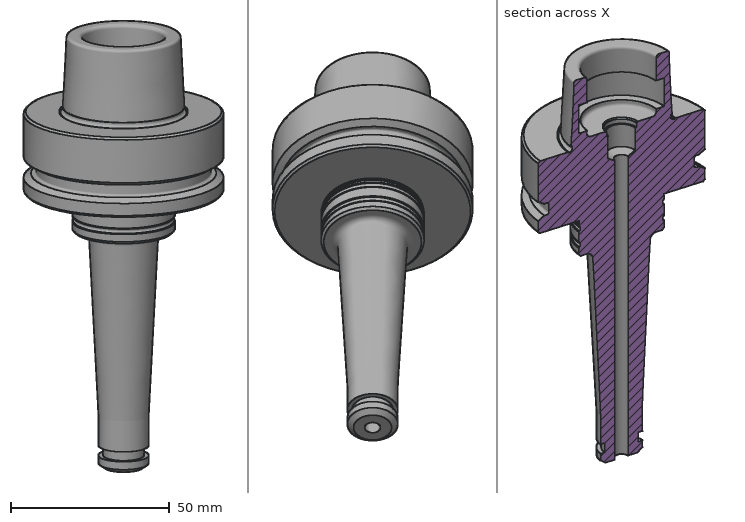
import cadquery as cq
import math


total_height = 141.0
flange_top = 116.0
flange_bottom = 90.0
collar_bottom = 77.1
cone_bottom = 17.2

gauge_diameter = 38.4
gauge_level = 118.0
taper_ratio = 0.1
rim_fillet = 1.0
relief_diameter = 37.4
gauge_edge_height = 0.4
relief_fillet = 1.1
relief_floor = 115.8
recess_diameter = 40.6

flange_diameter = 63.0
flange_chamfer = 0.7
groove_diameter = 55.0
groove_upper_edge = 101.4
groove_lower_edge = 94.6
groove_wall_angle = 30.0
groove_step_diameter = 58.4
groove_root_fillet = 0.7

collar_diameter = 32.5
collar_groove_diameter = 32.0
collar_groove_width = 2.0
collar_groove_tops = [88.1, 82.3]
ring_seat_width = 1.4
ring_seat_depth = 0.4
collar_neck_height = 0.8
collar_chamfer = 0.8

shaft_top_diameter = 21.9
shaft_fillet = 2.1
nose_diameter = 16.0
nose_end_diameter = 12.0
nose_chamfer_height = 1.4
nose_groove_diameter = 13.0
nose_groove_top = 7.2
nose_groove_bottom = 4.0

bore_diameter = 26.0
bore_depth = 21.9
bore_fillet = 1.3
clamping_diameter = 32.0
clamping_top_depth = 9.5
clamping_bottom_depth = 19.5
counterbore_diameter = 12.0
counterbore_depth = 2.0
counterbore_chamfer = 0.4
pilot_diameter = 10.0
pilot_depth = 10.0
drill_point_angle = 118.0
through_diameter = 5.0


def cylinder(diameter, bottom, top):
    return cq.Workplane("XY").workplane(offset=bottom).circle(diameter / 2).extrude(top - bottom)


def turned(points):
    """Revolve a closed (radius, height) outline about Z."""
    return cq.Workplane("XZ").polyline(points).close().revolve(360, (0, 0), (0, 1))


def ring_groove(outer_diameter, root_diameter, bottom, top):
    """Square-walled ring to cut from a cylinder."""
    clearance = 1.4
    return cylinder(outer_diameter + clearance, bottom, top).cut(cylinder(root_diameter, bottom, top))


def taper_shank():
    """Tapered shank with rounded rim, standing on a relief neck in the flange face."""
    rim_radius = (gauge_diameter - taper_ratio * (total_height - gauge_level)) / 2
    taper = turned([
        (0, gauge_level),
        (gauge_diameter / 2, gauge_level),
        (rim_radius, total_height),
        (0, total_height),
    ]).faces(">Z").edges().fillet(rim_fillet)
    gauge_edge = cylinder(gauge_diameter, gauge_level - gauge_edge_height, gauge_level)
    return flared_neck().union(gauge_edge).union(taper)


def flared_neck():
    """Relief neck whose foot flares in a quarter round to the floor of the flange recess."""
    neck_radius = relief_diameter / 2
    neck_top = gauge_level - gauge_edge_height
    return (
        cq.Workplane("XZ")
        .moveTo(0, relief_floor)
        .lineTo(neck_radius + relief_fillet, relief_floor)
        .radiusArc((neck_radius, relief_floor + relief_fillet), relief_fillet)
        .lineTo(neck_radius, neck_top)
        .lineTo(0, neck_top)
        .close()
        .revolve(360, (0, 0), (0, 1))
    )


def face_recess():
    """Shallow recess with a sloped rim in the flange face around the neck."""
    floor_radius = relief_diameter / 2 + relief_fillet
    return turned([
        (0, relief_floor),
        (floor_radius, relief_floor),
        (recess_diameter / 2, flange_top),
        (0, flange_top),
    ])


def flange():
    body = cylinder(flange_diameter, flange_bottom, flange_top)
    return body.faces("<Z or >Z").edges().chamfer(flange_chamfer)


def gripper_groove():
    """V-walled groove that turns level before a flat, rounded root."""
    outer_radius = flange_diameter / 2
    step_radius = groove_step_diameter / 2
    root_radius = groove_diameter / 2
    wall_rise = (outer_radius - step_radius) * math.tan(math.radians(groove_wall_angle))
    root_bottom = groove_lower_edge + wall_rise
    root_top = groove_upper_edge - wall_rise
    groove = turned([
        (outer_radius, groove_lower_edge),
        (step_radius, root_bottom),
        (root_radius, root_bottom),
        (root_radius, root_top),
        (step_radius, root_top),
        (outer_radius, groove_upper_edge),
    ])
    root_edges = cq.selectors.RadiusNthSelector(0)
    return groove.edges("%CIRCLE").edges(root_edges).fillet(groove_root_fillet)


def ring_seat(middle):
    """Shallow round-bottomed seat to cut into a collar groove."""
    land_radius = collar_groove_diameter / 2
    half_width = ring_seat_width / 2
    return (
        cq.Workplane("XZ")
        .moveTo(land_radius, middle - half_width)
        .threePointArc((land_radius - ring_seat_depth, middle), (land_radius, middle + half_width))
        .close()
        .revolve(360, (0, 0), (0, 1))
    )


def collar():
    body = cylinder(collar_diameter, collar_bottom, flange_bottom)
    body = body.faces("<Z").edges().chamfer(collar_chamfer)
    for top in collar_groove_tops:
        body = body.cut(ring_groove(collar_diameter, collar_groove_diameter, top - collar_groove_width, top))
        body = body.cut(ring_seat(top - collar_groove_width / 2))
    neck_bottom = flange_bottom - collar_neck_height
    return body.cut(ring_groove(collar_diameter, collar_groove_diameter, neck_bottom, flange_bottom))


def shaft():
    """Cone flaring into the collar, ending in a grooved and chamfered nose."""
    top_radius = shaft_top_diameter / 2
    nose_radius = nose_diameter / 2
    body = (
        cq.Workplane("XZ")
        .lineTo(nose_end_diameter / 2, 0)
        .lineTo(nose_radius, nose_chamfer_height)
        .lineTo(nose_radius, cone_bottom)
        .lineTo(top_radius, collar_bottom - shaft_fillet)
        .radiusArc((top_radius + shaft_fillet, collar_bottom), shaft_fillet)
        .lineTo(0, collar_bottom)
        .close()
        .revolve(360, (0, 0), (0, 1))
    )
    return body.cut(ring_groove(nose_diameter, nose_groove_diameter, nose_groove_bottom, nose_groove_top))


def bore():
    """Stepped bore: main bore with inner clamping groove, counterbore, drilled pilot and through hole."""
    floor = total_height - bore_depth
    counterbore_floor = floor - counterbore_depth
    pilot_end = floor - pilot_depth
    pilot_radius = pilot_diameter / 2
    through_radius = through_diameter / 2
    point_height = (pilot_radius - through_radius) / math.tan(math.radians(drill_point_angle / 2))
    main = cylinder(bore_diameter, floor, total_height).faces("<Z").edges().fillet(bore_fillet)
    clamping_groove = cylinder(
        clamping_diameter, total_height - clamping_bottom_depth, total_height - clamping_top_depth
    )
    counterbore_radius = counterbore_diameter / 2 - counterbore_chamfer
    drilled = turned([
        (0, 0),
        (through_radius, 0),
        (through_radius, pilot_end - point_height),
        (pilot_radius, pilot_end),
        (pilot_radius, counterbore_floor),
        (counterbore_radius, counterbore_floor),
        (counterbore_radius, floor - counterbore_chamfer),
        (counterbore_diameter / 2, floor),
        (0, floor),
    ])
    return main.union(clamping_groove).union(drilled)


holder = flange().cut(gripper_groove()).cut(face_recess())
holder = holder.union(taper_shank()).union(collar()).union(shaft())
holder = holder.cut(bore())

mouth = cq.selectors.RadiusNthSelector(0)
result = holder.faces(">Z").edges(mouth).fillet(bore_fillet)